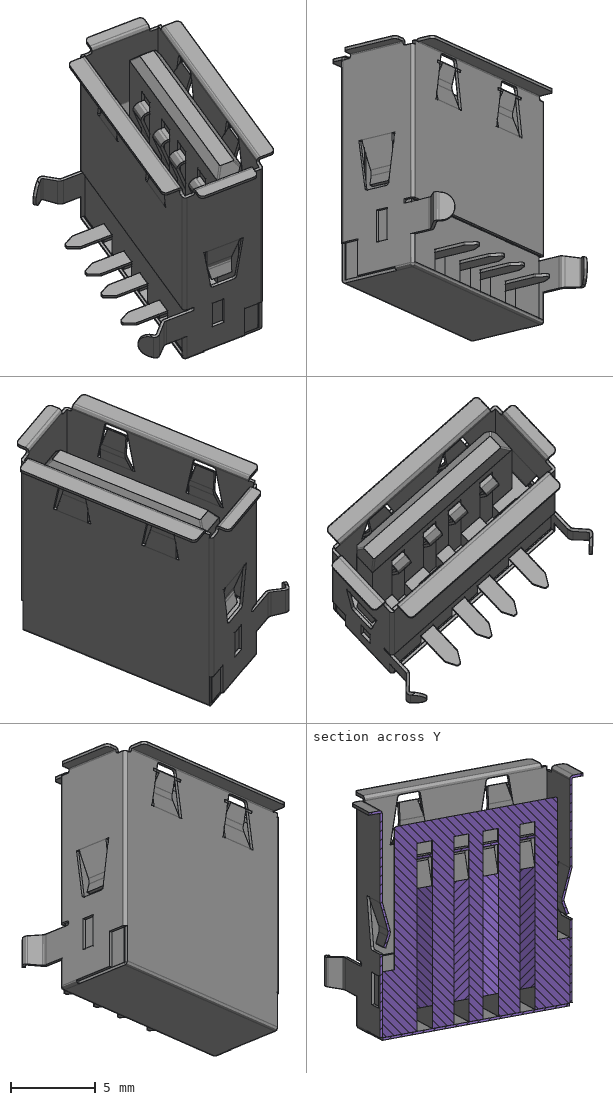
import cadquery as cq
import math


SHEET = 0.19
SHELL_WIDTH = 13.1
SHELL_DEPTH = 5.32
HEIGHT = 14.3
BEND_RADIUS = 0.2
HALF_WIDTH = SHELL_WIDTH / 2
HALF_DEPTH = SHELL_DEPTH / 2
INNER_HALF_WIDTH = HALF_WIDTH - SHEET
INNER_HALF_DEPTH = HALF_DEPTH - SHEET

CORNER_NOTCH_Z = 13.85
NOTCH_RADIUS = 0.15
FRONT_FLANGE_LENGTH = 12.05
FRONT_FLANGE_REACH = 1.06
SIDE_FLANGE_LENGTH = 3.85
SIDE_FLANGE_REACH = 0.73
FLANGE_CORNER_RADIUS = 0.3
FLANGE_BEND_RADIUS = 0.06

FRONT_OPENING_TOP = 4.27
FRONT_LIP_TOP = 0.26
LATCH_WINDOW_WIDTH = 0.78
LATCH_WINDOW_Y = -0.37
REAR_CORNER_START_Y = 1.4
REAR_CORNER_TOP = 2.48
BOTTOM_RECESS_START_Y = -1.31

TAB_X = 3.01
FRONT_TAB_HINGE_Z = 11.02
FRONT_TAB_WINDOW = dict(length=3.0, hinge_half=1.26, tip_half=0.75)
FRONT_TAB = dict(length=2.44, hinge_half=1.07, tip_half=0.63, bend_at=1.34, depth=0.43, tip_depth=-0.06)
FRONT_TAB_HEAD_WIDTH = 2.26
SIDE_TAB_HINGE_Z = 8.58
SIDE_TAB_WINDOW = dict(length=3.2, hinge_half=1.31, tip_half=0.84)
SIDE_TAB = dict(length=2.82, hinge_half=1.1, tip_half=0.66, bend_at=1.97, depth=0.57, tip_depth=0.24)
WINDOW_RADIUS = 0.2
TAB_CORNER_RADIUS = 0.12
TAB_BEND_RADIUS = 0.59

ARM_WIDTH = 2.0
ARM_Z = 3.0
ARM_TIP_WIDTH = 1.73
ARM_REACH_X = 7.35
ARM_REACH_Y = 5.73
ARM_ELBOW_Y = -4.85
ARM_BEND_RADIUS = 0.3
SLIT_HEIGHT = FRONT_OPENING_TOP - ARM_Z - ARM_WIDTH / 2
SLIT_START_Y = -1.97
SLIT_RADIUS = 0.1

BASE_HALF_DEPTH = 2.38
BASE_TOP = FRONT_OPENING_TOP
TONGUE_WIDTH = 11.1
TONGUE_FRONT_Y = 0.13
TONGUE_BACK_Y = 1.98
TONGUE_TOP = 13.7
TONGUE_BEVEL_HEIGHT = 0.66
TONGUE_FRONT_BEVEL = 0.41
TONGUE_BEVEL = 0.5
TONGUE_CORNER = 0.47
TONGUE_EDGE_RADIUS = 0.1

CONTACT_XS = (-3.5, -1.0, 1.0, 3.5)
CONTACT_WIDTH = 1.0
TAIL_TOP = 1.78
TAIL_TIP_Y = -5.17
TAIL_TAPER_START_Y = -4.48
TAIL_TIP_WIDTH = 0.24
TAIL_TIP_RADIUS = 0.09
TAIL_SHOULDER_RADIUS = 0.3
CREST_Y = -0.45
CREST_RADIUS = 0.48
HOOK_TOP = 11.02
GROOVE_TOP = 11.81
SLOT_FRONT_Y = -0.63


def box(x_range, y_range, z_range):
    size = [end - start for start, end in (x_range, y_range, z_range)]
    corner = (x_range[0], y_range[0], z_range[0])
    return cq.Workplane("XY").box(*size, centered=False).translate(corner)


def both_sides(body):
    """The body and its mirror image across X = 0."""
    return body.union(body.mirror("YZ"))



def make_flange(length, reach, wall_offset):
    """Flange bent outward toward -Y from the top of a wall whose outer face is at y = -wall_offset."""
    inner_radius = FLANGE_BEND_RADIUS
    outer_radius = inner_radius + SHEET
    arc = math.sqrt(0.5)
    bend_y = -wall_offset - inner_radius
    bend_z = HEIGHT - outer_radius
    strip = (
        cq.Workplane("YZ")
        .moveTo(-wall_offset, CORNER_NOTCH_Z)
        .lineTo(-wall_offset, bend_z)
        .threePointArc((bend_y + inner_radius * arc, bend_z + inner_radius * arc), (bend_y, HEIGHT - SHEET))
        .lineTo(-wall_offset - reach, HEIGHT - SHEET)
        .lineTo(-wall_offset - reach, HEIGHT)
        .lineTo(bend_y, HEIGHT)
        .threePointArc((bend_y + outer_radius * arc, bend_z + outer_radius * arc), (SHEET - wall_offset, bend_z))
        .lineTo(SHEET - wall_offset, CORNER_NOTCH_Z)
        .close()
        .extrude(length / 2, both=True)
    )
    return strip.edges("|Z").edges("<Y").fillet(FLANGE_CORNER_RADIUS)


def trapezoid(length, hinge_half, tip_half, corner_radius):
    """Prism along Y: a trapezoid on the hinge line z = 0 that narrows upward to rounded tip corners."""
    outline = [(-hinge_half, 0), (hinge_half, 0), (tip_half, length), (-tip_half, length)]
    prism = cq.Workplane("XZ").polyline(outline).close().extrude(HALF_DEPTH / 2, both=True)
    return prism.edges("|Y").edges(">Z").fillet(corner_radius)


def make_tab(length, hinge_half, tip_half, bend_at, depth, tip_depth, head_width):
    """Tab hinged at z = 0 in a wall with outer face y = 0, pushed in toward +Y and back out at its tip."""
    outer = [(0, 0), (depth, bend_at), (tip_depth, length)]
    slope = math.atan2(depth - tip_depth, length - bend_at)
    tip_inner = (tip_depth + SHEET * math.cos(slope), length + SHEET * math.sin(slope))
    inner = [tip_inner, (depth + SHEET, bend_at), (SHEET, 0)]
    strip = cq.Workplane("YZ").polyline(outer + inner).close().extrude(head_width / 2, both=True)
    crease = cq.selectors.BoxSelector(
        (-head_width, depth - 0.01, bend_at - 0.01), (head_width, depth + SHEET + 0.01, bend_at + 0.01))
    strip = strip.edges(crease).fillet(TAB_BEND_RADIUS)
    outline = trapezoid(tip_inner[1], hinge_half, tip_half, TAB_CORNER_RADIUS)
    outside_wall = box((-head_width, head_width), (-HALF_DEPTH, 0), (0, HEIGHT))
    return strip.intersect(outline.union(outside_wall))


def make_arm():
    """Left arm: runs forward out of the side wall, bends outward at 45 degrees and back inward."""
    corner_gain = ARM_BEND_RADIUS * (math.sqrt(2) - 1)
    elbow_x = -ARM_REACH_X - corner_gain
    first_bend_y = ARM_ELBOW_Y - HALF_WIDTH - elbow_x
    tip_x = elbow_x + ARM_ELBOW_Y + ARM_REACH_Y
    tip_offset = SHEET / math.sqrt(2)
    outer_face = [(-HALF_WIDTH, -HALF_DEPTH + BEND_RADIUS), (-HALF_WIDTH, first_bend_y),
                  (elbow_x, ARM_ELBOW_Y), (tip_x, -ARM_REACH_Y)]
    inner_face = [
        (tip_x + tip_offset, -ARM_REACH_Y + tip_offset),
        (elbow_x + SHEET * math.sqrt(2), ARM_ELBOW_Y),
        (-INNER_HALF_WIDTH, first_bend_y - SHEET * math.tan(math.pi / 8)),
        (-INNER_HALF_WIDTH, -HALF_DEPTH + BEND_RADIUS),
    ]
    strip = cq.Workplane("XY").polyline(outer_face + inner_face).close().extrude(ARM_WIDTH)
    strip = strip.translate((0, 0, ARM_Z - ARM_WIDTH / 2))

    def fillet_at(body, corner, radius):
        return body.edges("|Z").edges(cq.selectors.NearestToPointSelector((*corner, ARM_Z))).fillet(radius)

    strip = fillet_at(strip, outer_face[1], ARM_BEND_RADIUS)
    strip = fillet_at(strip, inner_face[2], ARM_BEND_RADIUS + SHEET)
    strip = fillet_at(strip, outer_face[2], ARM_BEND_RADIUS)
    strip = fillet_at(strip, inner_face[1], ARM_BEND_RADIUS - SHEET)

    end_radius = ARM_TIP_WIDTH / 2
    end_start_y = -ARM_REACH_Y + end_radius / math.sqrt(2)
    taper = (
        cq.Workplane("YZ")
        .polyline([(0, ARM_WIDTH / 2), (first_bend_y, ARM_WIDTH / 2), (end_start_y, end_radius),
                   (end_start_y, -end_radius), (first_bend_y, -ARM_WIDTH / 2), (0, -ARM_WIDTH / 2)])
        .close()
        .extrude(-2 * ARM_REACH_X)
        .translate((0, 0, ARM_Z))
    )
    last_leg = cq.Plane(origin=(tip_x, -ARM_REACH_Y, ARM_Z), xDir=(0, 0, 1), normal=(1, 1, 0))
    round_end = (
        cq.Workplane(last_leg)
        .center(0, -end_radius)
        .circle(end_radius)
        .extrude(SHEET, both=True)
    )
    return strip.intersect(taper.union(round_end))


def round_notch(shell, direction, corner):
    """Round the inner corner of a notch, where a flange end at `corner` meets the wall's top edge."""
    edge = cq.selectors.NearestToPointSelector((*corner, CORNER_NOTCH_Z))
    return shell.edges(direction).edges(edge).fillet(NOTCH_RADIUS)


def make_shell():
    shell = box((-HALF_WIDTH, HALF_WIDTH), (-HALF_DEPTH, HALF_DEPTH), (0, CORNER_NOTCH_Z))
    shell = shell.edges("|Z or <Z").fillet(BEND_RADIUS)
    shell = shell.cut(box((-INNER_HALF_WIDTH, INNER_HALF_WIDTH), (-INNER_HALF_DEPTH, INNER_HALF_DEPTH),
                          (SHEET, HEIGHT)))

    front_flange = make_flange(FRONT_FLANGE_LENGTH, FRONT_FLANGE_REACH, HALF_DEPTH)
    side_flange = make_flange(SIDE_FLANGE_LENGTH, SIDE_FLANGE_REACH, HALF_WIDTH)
    side_flange = side_flange.rotate((0, 0, 0), (0, 0, 1), -90)
    shell = shell.union(front_flange).union(front_flange.mirror("XZ")).union(both_sides(side_flange))
    front_end = FRONT_FLANGE_LENGTH / 2
    for side in (-1, 1):
        shell = round_notch(shell, "|Y", (front_end, side * (HALF_DEPTH - SHEET / 2)))
        for end in (-SIDE_FLANGE_LENGTH / 2, SIDE_FLANGE_LENGTH / 2):
            shell = round_notch(shell, "|X", (side * (HALF_WIDTH - SHEET / 2), end))

    for y_range in ((-HALF_DEPTH, -INNER_HALF_DEPTH), (INNER_HALF_DEPTH, HALF_DEPTH)):
        shell = shell.union(box((-INNER_HALF_WIDTH, -front_end), y_range, (CORNER_NOTCH_Z, HEIGHT - SHEET)))

    shell = shell.cut(box((-INNER_HALF_WIDTH, INNER_HALF_WIDTH), (-HALF_DEPTH, -INNER_HALF_DEPTH),
                          (FRONT_LIP_TOP, FRONT_OPENING_TOP)))

    latch = box((INNER_HALF_WIDTH, HALF_WIDTH),
                (LATCH_WINDOW_Y - LATCH_WINDOW_WIDTH / 2, LATCH_WINDOW_Y + LATCH_WINDOW_WIDTH / 2),
                (ARM_Z - ARM_WIDTH / 2, ARM_Z + ARM_WIDTH / 2))
    rear_corner = box((INNER_HALF_WIDTH, HALF_WIDTH), (REAR_CORNER_START_Y, HALF_DEPTH), (0, REAR_CORNER_TOP))
    bottom_recess = box((INNER_HALF_WIDTH, HALF_WIDTH), (BOTTOM_RECESS_START_Y, HALF_DEPTH), (0, SHEET))
    slit = box((INNER_HALF_WIDTH, HALF_WIDTH), (-HALF_DEPTH, SLIT_START_Y),
               (FRONT_OPENING_TOP - SLIT_HEIGHT, FRONT_OPENING_TOP))
    slit = slit.edges("|X").edges(">Y").fillet(SLIT_RADIUS)
    arm_gap = box((INNER_HALF_WIDTH, HALF_WIDTH), (-HALF_DEPTH, BEND_RADIUS - HALF_DEPTH),
                  (ARM_Z - ARM_WIDTH / 2, FRONT_OPENING_TOP))
    shell = shell.cut(both_sides(latch.union(rear_corner).union(bottom_recess).union(slit).union(arm_gap)))
    shell = shell.union(both_sides(make_arm()))

    window = trapezoid(**FRONT_TAB_WINDOW, corner_radius=WINDOW_RADIUS)
    tab = make_tab(**FRONT_TAB, head_width=FRONT_TAB_HEAD_WIDTH)
    for x in (-TAB_X, TAB_X):
        place = (x, -HALF_DEPTH, FRONT_TAB_HINGE_Z)
        for turn in (0, 180):
            shell = shell.cut(window.translate(place).rotate((0, 0, 0), (0, 0, 1), turn))
            shell = shell.union(tab.translate(place).rotate((0, 0, 0), (0, 0, 1), turn))

    window = trapezoid(**SIDE_TAB_WINDOW, corner_radius=WINDOW_RADIUS)
    tab = make_tab(**SIDE_TAB, head_width=2 * SIDE_TAB["hinge_half"])
    place = (0, -HALF_WIDTH, SIDE_TAB_HINGE_Z)
    for turn in (-90, 90):
        shell = shell.cut(window.mirror("XY").translate(place).rotate((0, 0, 0), (0, 0, 1), turn))
        shell = shell.union(tab.mirror("XY").translate(place).rotate((0, 0, 0), (0, 0, 1), turn))
    return shell



def make_contact():
    """Contact at x = 0: flat tail, upright strip set into the tongue and a hook that bulges forward."""
    strip_back_y = TONGUE_FRONT_Y + SHEET
    hook_y = CREST_Y + CREST_RADIUS
    hook_z = HOOK_TOP - CREST_RADIUS
    inner_radius = CREST_RADIUS - SHEET
    arc = math.sqrt(0.5)
    lean_z = hook_z - 4 * CREST_RADIUS
    profile = (
        cq.Workplane("YZ")
        .moveTo(TAIL_TIP_Y, TAIL_TOP - SHEET)
        .lineTo(strip_back_y, TAIL_TOP - SHEET)
        .lineTo(strip_back_y, lean_z)
        .lineTo(CREST_Y + SHEET, hook_z)
        .threePointArc((hook_y - inner_radius * arc, hook_z + inner_radius * arc), (hook_y, HOOK_TOP - SHEET))
        .lineTo(strip_back_y, HOOK_TOP - SHEET)
        .lineTo(strip_back_y, HOOK_TOP)
        .lineTo(hook_y, HOOK_TOP)
        .threePointArc((hook_y - CREST_RADIUS * arc, hook_z + CREST_RADIUS * arc), (CREST_Y, hook_z))
        .lineTo(TONGUE_FRONT_Y, lean_z)
        .lineTo(TONGUE_FRONT_Y, TAIL_TOP)
        .lineTo(TAIL_TIP_Y, TAIL_TOP)
        .close()
        .extrude(CONTACT_WIDTH / 2, both=True)
    )
    half, tip_half = CONTACT_WIDTH / 2, TAIL_TIP_WIDTH / 2
    plan = (
        cq.Workplane("XY")
        .polyline([(-half, HALF_DEPTH), (-half, TAIL_TAPER_START_Y), (-tip_half, TAIL_TIP_Y),
                   (tip_half, TAIL_TIP_Y), (half, TAIL_TAPER_START_Y), (half, HALF_DEPTH)])
        .close()
        .extrude(HEIGHT)
    )
    plan = plan.edges("|Z and <Y").fillet(TAIL_TIP_RADIUS)
    for x in (-half, half):
        shoulder = cq.selectors.NearestToPointSelector((x, TAIL_TAPER_START_Y, HEIGHT / 2))
        plan = plan.edges("|Z").edges(shoulder).fillet(TAIL_SHOULDER_RADIUS)
    return profile.intersect(plan)



def make_tongue():
    """Upright tongue with bevels around its top, rounded slanted edges and cut back corners."""
    half = TONGUE_WIDTH / 2
    bevel_z = TONGUE_TOP - TONGUE_BEVEL_HEIGHT
    tongue = box((-half, half), (TONGUE_FRONT_Y, TONGUE_BACK_Y), (BASE_TOP, TONGUE_TOP))

    side_bevel = [(half, bevel_z), (half, TONGUE_TOP), (half - TONGUE_BEVEL, TONGUE_TOP)]
    side_wedge = cq.Workplane("XZ").polyline(side_bevel).close().extrude(HALF_DEPTH, both=True)
    tongue = tongue.cut(both_sides(side_wedge))
    front_bevel = [(TONGUE_FRONT_Y, bevel_z), (TONGUE_FRONT_Y, TONGUE_TOP),
                   (TONGUE_FRONT_Y + TONGUE_FRONT_BEVEL, TONGUE_TOP)]
    back_bevel = [(TONGUE_BACK_Y, bevel_z), (TONGUE_BACK_Y, TONGUE_TOP),
                  (TONGUE_BACK_Y - TONGUE_BEVEL, TONGUE_TOP)]
    for corners in (front_bevel, back_bevel):
        tongue = tongue.cut(cq.Workplane("YZ").polyline(corners).close().extrude(half, both=True))

    tongue = tongue.edges("not(|X or |Y or |Z) or (|Z and <Y)").fillet(TONGUE_EDGE_RADIUS)
    back_corner = (
        cq.Workplane("XY")
        .polyline([(half, TONGUE_BACK_Y - TONGUE_CORNER), (half, TONGUE_BACK_Y),
                   (half - TONGUE_CORNER, TONGUE_BACK_Y)])
        .close()
        .extrude(HEIGHT)
    )
    return tongue.cut(both_sides(back_corner))


def make_insulator():
    base = box((-INNER_HALF_WIDTH, INNER_HALF_WIDTH), (-BASE_HALF_DEPTH, BASE_HALF_DEPTH), (SHEET, BASE_TOP))
    insulator = base.union(make_tongue())
    groove_back_y = TONGUE_FRONT_Y + SHEET
    half = CONTACT_WIDTH / 2
    for x in CONTACT_XS:
        sides = (x - half, x + half)
        groove = box(sides, (TONGUE_FRONT_Y, groove_back_y), (SHEET, GROOVE_TOP))
        spring_slot = box(sides, (SLOT_FRONT_Y, TONGUE_FRONT_Y), (TAIL_TOP, BASE_TOP))
        tail_slot = box(sides, (-BASE_HALF_DEPTH, groove_back_y), (SHEET, TAIL_TOP))
        insulator = insulator.cut(groove).cut(spring_slot).cut(tail_slot)
    return insulator


shell = make_shell()
insulator = make_insulator()
contact = make_contact()
contacts = [contact.translate((x, 0, 0)) for x in CONTACT_XS]

result = cq.Compound.makeCompound(
    [shell.val(), insulator.val(), *[body.val() for body in contacts]]
)